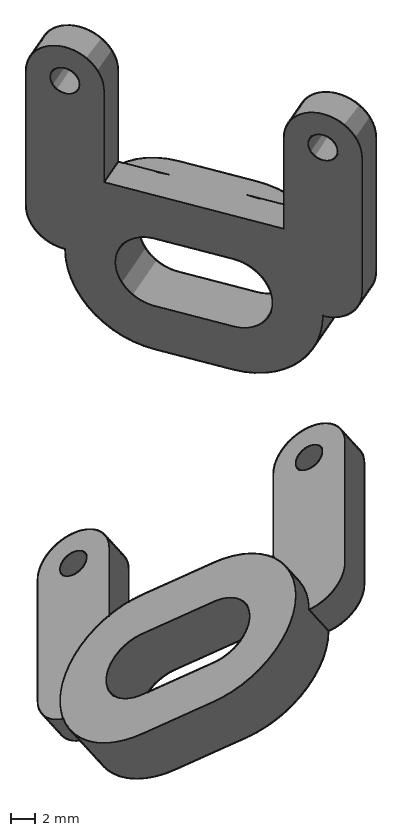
import cadquery as cq

overall_width = 30.0
overall_depth = 5.0
arm_width = 7.0
arm_length = 21.0
arm_depth = 3.0
pin_hole_diameter = 2.6
ring_height = 16.02
slot_height = 7.0
slot_length = 14.0

arm_spacing = overall_width - arm_width
ring_width = arm_spacing
arm_center_z = arm_length / 2
pin_hole_z = arm_length - arm_width / 2
web_height = ring_height / 2


def front_plane():
    """Front face, whose extrusions run backward along +Y when negative."""
    return cq.Workplane("XZ")


def ring_body():
    """Full-depth rounded body around the slot."""
    return front_plane().slot2D(ring_width, ring_height).extrude(-overall_depth)


def arm(x):
    """Upright arm with fully rounded ends."""
    return front_plane().center(x, arm_center_z).slot2D(arm_length, arm_width, 90).extrude(-arm_depth)


def web():
    """Plate that joins both arms, level with the top of the ring."""
    return front_plane().center(0, web_height / 2).rect(arm_spacing, web_height).extrude(-arm_depth)


result = ring_body().union(web())
for side in (-1, 1):
    result = result.union(arm(side * arm_spacing / 2))

result = result.cut(front_plane().slot2D(slot_length, slot_height).extrude(-overall_depth))

for side in (-1, 1):
    pin_hole = (
        front_plane()
        .center(side * arm_spacing / 2, pin_hole_z)
        .circle(pin_hole_diameter / 2)
        .extrude(-arm_depth)
    )
    result = result.cut(pin_hole)